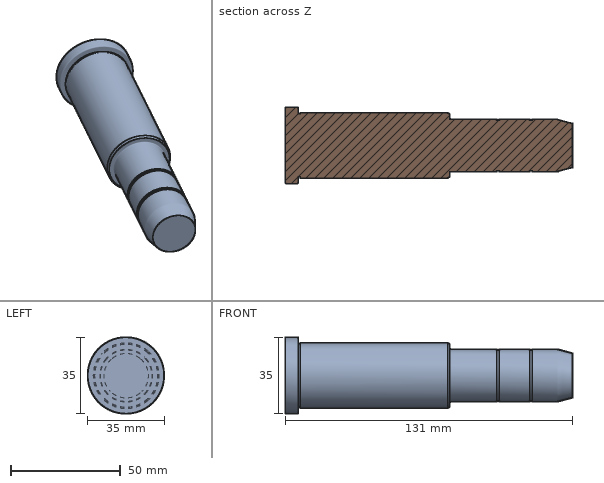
import cadquery as cq
import math

total_length = 131.0
head_diameter = 35.0
head_length = 6.0
head_edge = 0.5
body_diameter = 30.0
body_end = 75.0
body_chamfer_length = 1.0
body_chamfer_depth = 0.7
neck_width = 0.8
neck_depth = 0.5
pin_diameter = 24.0
pin_root_radius = 0.4
groove_starts = (96.4, 111.4)
groove_width = 1.2
groove_depth = 0.3
taper_length = 7.0
taper_angle = 15.0

head_face = -total_length / 2
pin_radius = pin_diameter / 2


def cylinder(start, length, diameter):
    """Solid cylinder along X; start is measured from the head face."""
    plane = cq.Workplane("YZ", origin=(head_face + start, 0, 0))
    return plane.circle(diameter / 2).extrude(length)


def ring_cut(start, width, diameter, depth):
    """Ring of material to remove from a cylinder of the given diameter."""
    core = cylinder(start, width, diameter - 2 * depth)
    return cylinder(start, width, diameter).cut(core)


head = cylinder(0, head_length, head_diameter).edges().fillet(head_edge)

body = cylinder(head_length, body_end - head_length, body_diameter)
body = body.faces(">X").chamfer(body_chamfer_length, body_chamfer_depth)
body = body.cut(ring_cut(head_length, neck_width, body_diameter, neck_depth))

taper_start = total_length - taper_length
pin = cylinder(body_end, taper_start - body_end, pin_diameter)
tip_radius = pin_radius - taper_length * math.tan(math.radians(taper_angle))
tip = cq.Workplane(
    cq.Solid.makeCone(
        pin_radius,
        tip_radius,
        taper_length,
        cq.Vector(head_face + taper_start, 0, 0),
        cq.Vector(1, 0, 0),
    )
)

for groove_start in groove_starts:
    pin = pin.cut(ring_cut(groove_start, groove_width, pin_diameter, groove_depth))

shoulder = head_face + body_end
arc_inset = pin_root_radius * (1 - math.sqrt(0.5))
root_fillet = (
    cq.Workplane("XY")
    .moveTo(shoulder, 0)
    .lineTo(shoulder, pin_radius + pin_root_radius)
    .threePointArc(
        (shoulder + arc_inset, pin_radius + arc_inset),
        (shoulder + pin_root_radius, pin_radius),
    )
    .lineTo(shoulder + pin_root_radius, 0)
    .close()
    .revolve(360, (0, 0, 0), (1, 0, 0))
)

result = head.union(body).union(pin).union(tip).union(root_fillet)